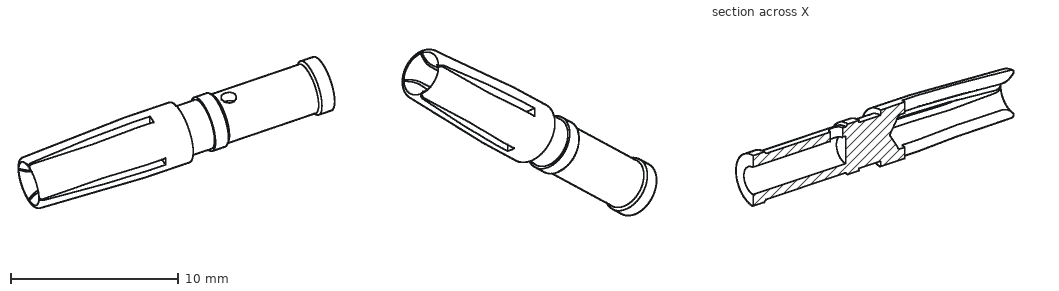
import cadquery as cq
import math

length = 19.5

barrel_radius = 3.1 / 2
collar_radius = 3.4 / 2
socket_radius = 3.8 / 2
tip_radius = 3.2 / 2

taper_start_y = 7.0
socket_end_y = 10.0
ring_start_y = 11.58
ring_length = 1.0
rear_collar_length = 1.0
collar_chamfer_length = 0.15
tip_fillet = 0.2

mouth_radius = 1.37
lead_in_angle = math.radians(45)
lead_in_depth = 0.215
throat_arc_radius = 0.93
socket_bore_radius = 1.13
socket_bore_depth = 8.6
drill_half_angle = math.radians(59)

slot_width = 0.53
slot_tip_width = 0.1
slot_end_y = 8.17
slot_kink_y = 4.1

wire_bore_radius = 0.9
wire_bore_end_y = 12.6
inspection_hole_diameter = 0.9
inspection_hole_y = 13.27


def revolve_about_y(profile):
    """Full turn of a closed half profile about the part axis."""
    return profile.revolve(360, (0, 0, 0), (0, 1, 0))


def turned_body():
    """Solid of revolution carrying all the outer steps."""
    ring_end_y = ring_start_y + ring_length
    rear_collar_y = length - rear_collar_length
    profile = (
        cq.Workplane("XY")
        .moveTo(0, 0)
        .lineTo(tip_radius, 0)
        .lineTo(socket_radius, taper_start_y)
        .lineTo(socket_radius, socket_end_y)
        .lineTo(barrel_radius, socket_end_y)
        .lineTo(barrel_radius, ring_start_y)
        .lineTo(collar_radius, ring_start_y)
        .lineTo(collar_radius, ring_end_y - collar_chamfer_length)
        .lineTo(barrel_radius, ring_end_y)
        .lineTo(barrel_radius, rear_collar_y)
        .lineTo(collar_radius, rear_collar_y + collar_chamfer_length)
        .lineTo(collar_radius, length)
        .lineTo(0, length)
        .close()
    )
    body = revolve_about_y(profile)
    return body.faces("<Y").edges().fillet(tip_fillet)


def socket_bore():
    """Bore between the fingers, ending in a drill cone."""
    lead_in_end_radius = mouth_radius - lead_in_depth * math.tan(lead_in_angle)
    throat_radius = lead_in_end_radius - throat_arc_radius * (1 - math.cos(lead_in_angle))
    throat_y = lead_in_depth + throat_arc_radius * math.sin(lead_in_angle)
    arc_center_radius = throat_radius + throat_arc_radius
    half_angle = lead_in_angle / 2
    arc_middle = (
        arc_center_radius - throat_arc_radius * math.cos(half_angle),
        throat_y - throat_arc_radius * math.sin(half_angle),
    )
    cone_tip_y = socket_bore_depth + socket_bore_radius / math.tan(drill_half_angle)
    profile = (
        cq.Workplane("XY")
        .moveTo(0, 0)
        .lineTo(mouth_radius, 0)
        .lineTo(lead_in_end_radius, lead_in_depth)
        .threePointArc(arc_middle, (throat_radius, throat_y))
        .lineTo(socket_bore_radius, taper_start_y)
        .lineTo(socket_bore_radius, socket_bore_depth)
        .lineTo(0, cone_tip_y)
        .close()
    )
    return revolve_about_y(profile)


def finger_slot():
    """Slot through the full diameter along Z, narrowing toward the tip."""
    half_width = slot_width / 2
    half_tip_width = slot_tip_width / 2
    return (
        cq.Workplane("XY")
        .moveTo(-half_tip_width, 0)
        .lineTo(half_tip_width, 0)
        .lineTo(half_width, slot_kink_y)
        .lineTo(half_width, slot_end_y)
        .lineTo(-half_width, slot_end_y)
        .lineTo(-half_width, slot_kink_y)
        .close()
        .extrude(2 * socket_radius, both=True)
    )


def wire_bore():
    """Blind bore entering from the rear face."""
    return (
        cq.Workplane("XZ", origin=(0, length, 0))
        .circle(wire_bore_radius)
        .extrude(length - wire_bore_end_y)
    )


def inspection_hole():
    """Radial hole from the top of the barrel into the wire bore."""
    return (
        cq.Workplane("XY", origin=(0, inspection_hole_y, 0))
        .circle(inspection_hole_diameter / 2)
        .extrude(collar_radius)
    )


result = turned_body().cut(socket_bore())
for slot_angle in (0, 90):
    result = result.cut(finger_slot().rotate((0, 0, 0), (0, 1, 0), slot_angle))
result = result.cut(wire_bore()).cut(inspection_hole())